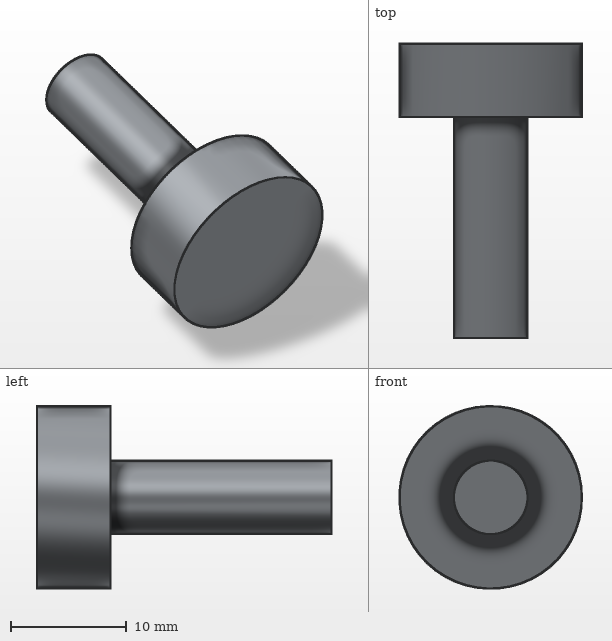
import cadquery as cq

overall_length = 25.4
head_diameter = 15.75
head_length = 6.35
shank_diameter = 6.35
shank_length = overall_length - head_length


def cylinder_along_y(diameter, start_y, length):
    """Cylinder centred on the Y axis, running from start_y toward +Y."""
    return (
        cq.Workplane("XZ", origin=(0, start_y, 0))
        .circle(diameter / 2)
        .extrude(-length)
    )


shank = cylinder_along_y(shank_diameter, 0, shank_length)
head = cylinder_along_y(head_diameter, shank_length, head_length)

result = shank.union(head)